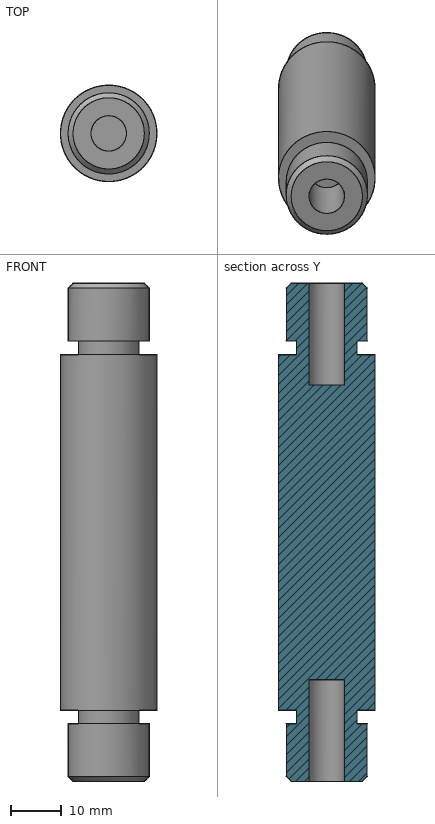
import cadquery as cq

total_length = 98.0
body_diameter = 19.0
end_diameter = 16.0
groove_diameter = 12.0
end_length = 14.0
groove_width = 2.6
end_chamfer = 1.0
hole_diameter = 7.0
hole_depth = 20.0

half_length = total_length / 2
shoulder_z = half_length - end_length


def cylinder(diameter, bottom_z, height):
    """Solid cylinder on the Z axis."""
    return cq.Workplane("XY").workplane(offset=bottom_z).circle(diameter / 2).extrude(height)


def upper_end():
    """Necked end above the body: relief groove, then a chamfered journal."""
    journal_z = shoulder_z + groove_width
    neck = cylinder(groove_diameter, shoulder_z, groove_width)
    journal = cylinder(end_diameter, journal_z, half_length - journal_z)
    return neck.union(journal.faces(">Z").chamfer(end_chamfer))


def upper_hole():
    """Blind axial hole entering from the upper end face."""
    return cylinder(hole_diameter, half_length - hole_depth, hole_depth)


body = cylinder(body_diameter, -shoulder_z, 2 * shoulder_z)
pin = body.union(upper_end()).union(upper_end().mirror("XY"))
result = pin.cut(upper_hole()).cut(upper_hole().mirror("XY"))